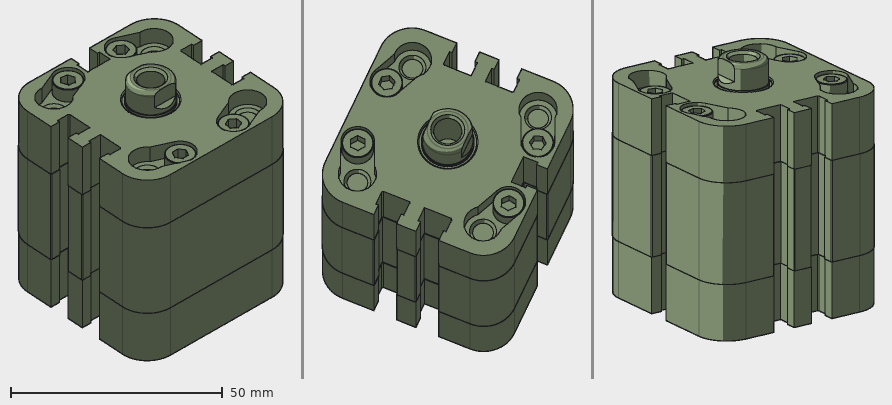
import cadquery as cq
import math


body_width = 49.0
cap_width = 48.9
corner_radius = 8.0
cap_height = 14.2
barrel_height = 25.55
overall_height = 60.5

barrel_bottom = cap_height
barrel_top = barrel_bottom + barrel_height
body_top = barrel_top + cap_height

lip_depth = 2.85
cap_slot_offset = 5.45
cap_mouth_width = 5.85
cap_groove_width = 7.2
cap_slot_depth = 6.55
cap_groove_corner = 0.3
barrel_slot_offset = 5.4
barrel_mouth_width = 5.75
barrel_groove_width = 7.0
barrel_slot_depth = 6.35
barrel_mouth_chamfer = 0.25

pocket_depth = 4.35
hole_offset = 16.2
hole_pocket_diameter = 9.0
hole_diameter = 4.9
hole_mouth_diameter = 6.35
screw_x = 19.5
screw_y = 8.6
screw_pocket_diameter = 8.0
screw_head_diameter = 7.5
screw_head_recess = 0.65
screw_head_chamfer = 0.2
hex_across_flats = 3.4
hex_depth = 2.7
screws = [(-1, 1, -10), (1, 1, -5), (-1, -1, 20), (1, -1, 34)]

rod_diameter = 12.0
rod_top_fillet = 1.15
rod_hole_diameter = 6.65
rod_hole_mouth_diameter = 8.05
rod_hole_depth = 12.1
flats_width = 9.9
flats_height = 4.4
seal_lip_diameter = 12.5
seal_groove_diameter = 13.7
seal_groove_depth = 0.6
seal_groove_chamfer = 0.3


def slot_cutter(mouth_width, groove_width, depth, height, mouth_chamfer=0.0, corner_chamfer=0.0):
    """T-slot cutter in the -Y face, centred on X = 0, with one chamfered floor corner on +X."""
    face = -body_width / 2
    lip = face + lip_depth
    floor = face + depth
    half_mouth = mouth_width / 2
    half_groove = groove_width / 2
    cutter = (
        cq.Workplane("XY")
        .moveTo(0, face)
        .lineTo(half_mouth, face)
        .lineTo(half_mouth, lip)
        .lineTo(half_groove, lip)
        .lineTo(half_groove, floor)
        .lineTo(-half_groove, floor)
        .lineTo(-half_groove, lip)
        .lineTo(-half_mouth, lip)
        .lineTo(-half_mouth, face)
        .close()
        .extrude(height)
    )
    if mouth_chamfer > 0:
        flare = (
            cq.Workplane("XY")
            .moveTo(-half_mouth - mouth_chamfer, face)
            .lineTo(half_mouth + mouth_chamfer, face)
            .lineTo(half_mouth, face + mouth_chamfer)
            .lineTo(-half_mouth, face + mouth_chamfer)
            .close()
            .extrude(height)
        )
        cutter = cutter.union(flare)
    if corner_chamfer > 0:
        cutter = cutter.edges("|Z and >Y and >X").chamfer(corner_chamfer)
    return cutter


def slotted_block(bottom, height, width, slot_offset, side_cutter, single_cutter):
    """Rounded square block with two slots on -Y, two on +Y and one on -X."""
    block = cq.Workplane("XY").rect(width, width).extrude(height)
    block = block.edges("|Z").fillet(corner_radius)
    right_slot = side_cutter.translate((slot_offset, 0, 0))
    for slot in (right_slot, right_slot.mirror("YZ")):
        block = block.cut(slot).cut(slot.mirror("XZ"))
    block = block.cut(single_cutter.rotate((0, 0, 0), (0, 0, 1), -90))
    return block.translate((0, 0, bottom))


def cap_block(bottom):
    slot_sizes = (cap_mouth_width, cap_groove_width, cap_slot_depth, cap_height)
    side_cutter = slot_cutter(*slot_sizes, corner_chamfer=cap_groove_corner)
    single_cutter = slot_cutter(*slot_sizes)
    return slotted_block(bottom, cap_height, cap_width, cap_slot_offset, side_cutter, single_cutter)


def make_barrel():
    cutter = slot_cutter(
        barrel_mouth_width,
        barrel_groove_width,
        barrel_slot_depth,
        barrel_height,
        mouth_chamfer=barrel_mouth_chamfer,
    )
    return slotted_block(barrel_bottom, barrel_height, body_width, barrel_slot_offset, cutter, cutter)


def cone(bottom_diameter, top_diameter, top, height):
    """Upright cone frustum on the Z axis, ending at the given top."""
    return cq.Workplane(
        cq.Solid.makeCone(bottom_diameter / 2, top_diameter / 2, height, cq.Vector(0, 0, top - height))
    )


def disc(diameter, bottom, top):
    return cq.Workplane("XY").workplane(offset=bottom).circle(diameter / 2).extrude(top - bottom)


def pocket_cutter(side_x, side_y):
    """Keyhole pocket: a round end over the mounting hole and a slot over the screw."""
    hole = cq.Vector(side_x * hole_offset, side_y * hole_offset)
    screw = cq.Vector(side_x * screw_x, side_y * screw_y)
    span = screw - hole
    middle = (hole + screw) * 0.5
    angle = math.degrees(math.atan2(span.y, span.x))
    floor = cq.Workplane("XY").workplane(offset=body_top - pocket_depth)
    slot = (
        floor.center(middle.x, middle.y)
        .transformed(rotate=(0, 0, angle))
        .slot2D(span.Length + screw_pocket_diameter, screw_pocket_diameter)
        .extrude(pocket_depth)
    )
    round_end = floor.center(hole.x, hole.y).circle(hole_pocket_diameter / 2).extrude(pocket_depth)
    return slot.union(round_end)


def mounting_hole_cutter(side_x, side_y):
    """Shallow conical hole mouth in the pocket floor."""
    floor = body_top - pocket_depth
    sink_depth = (hole_mouth_diameter - hole_diameter) / 2
    hole_mouth = cone(hole_diameter, hole_mouth_diameter, floor, sink_depth)
    return hole_mouth.translate((side_x * hole_offset, side_y * hole_offset, 0))


def screw_head(side_x, side_y, hex_angle):
    """Socket head standing on the pocket floor as part of the cap."""
    floor = body_top - pocket_depth
    head_top = body_top - screw_head_recess
    head = disc(screw_head_diameter, floor, head_top)
    head = head.faces(">Z").chamfer(screw_head_chamfer)
    across_corners = hex_across_flats / math.cos(math.radians(30))
    socket = (
        cq.Workplane("XY")
        .workplane(offset=head_top - hex_depth)
        .transformed(rotate=(0, 0, hex_angle))
        .polygon(6, across_corners)
        .extrude(hex_depth)
    )
    return head.cut(socket).translate((side_x * screw_x, side_y * screw_y, 0))


def rod_opening_cutter():
    """Rod hole through the cap, with a chamfered ring groove for the seal lip around it."""
    mouth_diameter = seal_groove_diameter + 2 * seal_groove_chamfer
    groove = disc(seal_groove_diameter, body_top - seal_groove_depth, body_top)
    groove = groove.union(cone(seal_groove_diameter, mouth_diameter, body_top, seal_groove_chamfer))
    groove = groove.cut(disc(seal_lip_diameter, barrel_top, body_top))
    return groove.union(disc(rod_diameter, barrel_top, body_top))


def make_top_cap():
    cap = cap_block(barrel_top)
    cap = cap.cut(rod_opening_cutter())
    for side_x, side_y, hex_angle in screws:
        cap = cap.cut(pocket_cutter(side_x, side_y))
        cap = cap.cut(mounting_hole_cutter(side_x, side_y))
        cap = cap.union(screw_head(side_x, side_y, hex_angle))
    return cap


def make_rod():
    rod = disc(rod_diameter, barrel_top, overall_height)
    rod = rod.faces(">Z").edges().fillet(rod_top_fillet)

    mouth_depth = (rod_hole_mouth_diameter - rod_hole_diameter) / 2
    rod = rod.cut(disc(rod_hole_diameter, overall_height - rod_hole_depth, overall_height))
    rod = rod.cut(cone(rod_hole_diameter, rod_hole_mouth_diameter, overall_height, mouth_depth))

    flat_x = flats_width / 2
    flat_bottom = overall_height - flats_height
    cut_reach = rod_diameter / 2 - flat_x + 0.6
    flat = (
        cq.Workplane("XZ")
        .moveTo(flat_x, overall_height)
        .lineTo(flat_x, flat_bottom)
        .lineTo(flat_x + cut_reach, flat_bottom - cut_reach)
        .lineTo(flat_x + cut_reach, overall_height)
        .close()
        .extrude(rod_diameter / 2, both=True)
    )
    return rod.cut(flat).cut(flat.mirror("YZ"))


bottom_cap = cap_block(0)
barrel = make_barrel()
top_cap = make_top_cap()
rod = make_rod()

result = cq.Compound.makeCompound([bottom_cap.val(), barrel.val(), top_cap.val(), rod.val()])